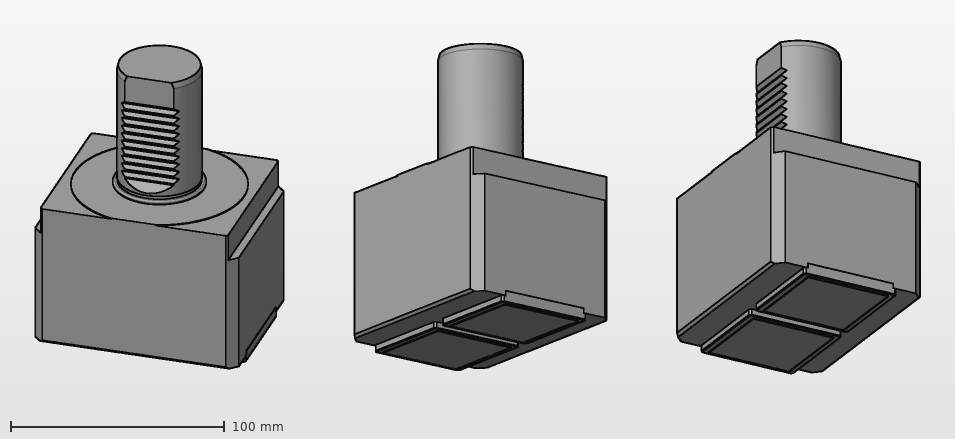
import cadquery as cq


total_height = 138.0
seat_z = 74.9

body_length = 100.0
body_width = 80.0
body_bottom_z = 3.7
corner_chamfer = 5.0
bottom_edge_chamfer = 1.4
shoulder_z = 61.3
neck_length = 92.0
seat_diameter = 83.1
seat_rise = 0.4
body_top_z = seat_z - seat_rise

shank_diameter = 40.0
shank_radius = shank_diameter / 2
relief_diameter = 39.7
relief_top_z = 78.7
tip_taper_height = 2.8
tip_taper_inset = 0.7

ring_outer_diameter = 43.9
ring_height = 2.2
ring_edge_radius = 1.0

flat_distance = 16.0
flat_end_z = 83.9
tooth_pitch = 4.0
groove_count = 10
groove_depth = 1.8
top_groove_z = 122.5

pad_gap = 5.0
pad_inset = 0.1
pad_width = 49.4
pad_corner_chamfer = 1.0
pad_edge_chamfer = 0.4
tongue_width = 45.7
tongue_top_z = 6.1
pad_face_rise = 0.4
face_inset_x = 2.2
face_inset_y = 3.2


def block(length, width, bottom_z, top_z, center_x=0.0):
    """Upright block centred on the X axis."""
    return (
        cq.Workplane("XY", origin=(center_x, 0, bottom_z))
        .rect(length, width)
        .extrude(top_z - bottom_z)
    )


def cylinder(diameter, bottom_z, top_z):
    """Upright cylinder on the Z axis."""
    return cq.Workplane("XY", origin=(0, 0, bottom_z)).circle(diameter / 2).extrude(top_z - bottom_z)


def make_body():
    """Body with chamfered corners, side shoulders and a raised round seat."""
    body = block(body_length, body_width, body_bottom_z, body_top_z)
    body = body.edges("|Z").chamfer(corner_chamfer)
    body = body.faces("<Z").edges("|X").chamfer(bottom_edge_chamfer)

    neck = block(neck_length, body_width, shoulder_z, body_top_z)
    upper_part = block(body_length, body_width, shoulder_z, body_top_z)
    body = body.cut(upper_part.cut(neck))

    seat = cylinder(seat_diameter, body_top_z, seat_z)
    seat = seat.intersect(block(body_length, body_width, body_top_z, seat_z))
    return body.union(seat)


def make_shank():
    """Turned shank with a tapered tip, a relief at its foot and a toothed flat."""
    relief_radius = relief_diameter / 2
    shank = (
        cq.Workplane("XZ")
        .moveTo(0, body_top_z)
        .lineTo(relief_radius, body_top_z)
        .lineTo(relief_radius, relief_top_z)
        .lineTo(shank_radius, relief_top_z)
        .lineTo(shank_radius, total_height - tip_taper_height)
        .lineTo(shank_radius - tip_taper_inset, total_height)
        .lineTo(0, total_height)
        .close()
        .revolve(360, (0, 0, 0), (0, 1, 0))
    )
    return shank.cut(make_flat_cutter())


def make_flat_cutter():
    """Cutter for the flat: 45 degree run-out at the bottom and 90 degree grooves."""
    runout = shank_radius - flat_distance
    outline = (
        cq.Workplane("YZ", origin=(-shank_radius, 0, 0))
        .moveTo(-shank_radius, total_height)
        .lineTo(-flat_distance, total_height)
    )
    for index in range(groove_count):
        groove_z = top_groove_z - index * tooth_pitch
        outline = (
            outline.lineTo(-flat_distance, groove_z + groove_depth)
            .lineTo(-flat_distance + groove_depth, groove_z)
            .lineTo(-flat_distance, groove_z - groove_depth)
        )
    return (
        outline.lineTo(-flat_distance, flat_end_z)
        .lineTo(-shank_radius, flat_end_z - runout)
        .close()
        .extrude(shank_diameter)
    )


def make_ring():
    """Sealing ring resting on the seat, rounded along both outer edges."""
    ring = cylinder(ring_outer_diameter, seat_z, seat_z + ring_height)
    return ring.edges().fillet(ring_edge_radius)


def make_pad(side):
    """Pad on one side (-1 or +1 along X) with a slightly raised lower face."""
    inner_x = pad_gap / 2
    outer_x = body_length / 2 - pad_inset
    pad_length = outer_x - inner_x
    center_x = side * (inner_x + outer_x) / 2

    pad = block(pad_length, pad_width, pad_face_rise, body_bottom_z, center_x)
    pad = pad.edges("|Z").chamfer(pad_corner_chamfer)
    pad = pad.faces("<Z").edges().chamfer(pad_edge_chamfer)
    face = block(
        pad_length - 2 * face_inset_x, pad_width - 2 * face_inset_y, 0, pad_face_rise, center_x
    )
    return pad.union(face)


def make_tongue_recess(side):
    """Shallow step in the body side where the tongue of a pad shows."""
    center_x = side * (body_length - pad_inset) / 2
    return block(pad_inset, tongue_width, body_bottom_z, tongue_top_z, center_x)


result = make_body().union(make_shank()).union(make_ring())
for side in (-1, 1):
    result = result.cut(make_tongue_recess(side)).union(make_pad(side))